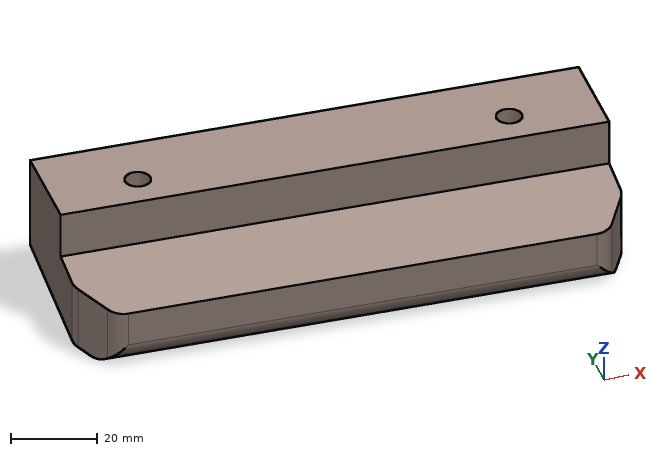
import cadquery as cq
import math

length = 133.0
depth = 46.0
height = 30.3

block_depth = 24.1
step_height = 11.6
slope_angle = math.radians(10)
nose_chamfer = 5.0

cut_angle = math.radians(60)
cut_width = 6.8
cut_depth = cut_width * math.tan(cut_angle)

edge_radius = 5.0

hole_diameter = 6.1
hole_spacing = 90.0
hole_from_back = 15.0

slope = math.tan(slope_angle)
half_turn = (math.pi / 2 + slope_angle) / 2
round_setback = edge_radius * math.tan(half_turn / 2)
chamfer_flat = 2 * nose_chamfer * math.cos(half_turn) - 2 * round_setback

front_face_bottom_z = edge_radius + chamfer_flat * math.cos(half_turn)
underside_front_z = front_face_bottom_z - nose_chamfer - round_setback
underside_back_z = underside_front_z + depth * slope
chamfer_front = (0, underside_front_z + nose_chamfer)
chamfer_back = (
    nose_chamfer * math.cos(slope_angle),
    underside_front_z + nose_chamfer * math.sin(slope_angle),
)

step_y = depth - block_depth
lip_back_z = height - step_height
lip_front_z = lip_back_z - step_y * slope


def make_profile_body():
    """Sweep the side profile along the full length."""
    profile = [
        (depth, underside_back_z),
        (depth, height),
        (step_y, height),
        (step_y, lip_back_z),
        (0, lip_front_z),
        chamfer_front,
        chamfer_back,
    ]
    body = cq.Workplane("YZ").polyline(profile).close().extrude(length / 2, both=True)
    for edge_y, edge_z in (chamfer_front, chamfer_back):
        body = body.edges(cq.NearestToPointSelector((0, edge_y, edge_z))).fillet(edge_radius)
    return body


def make_plan_body():
    """Prism with the plan outline, including the rounded angled corners."""
    half_length = length / 2
    outline = [
        (-half_length, depth),
        (-half_length, cut_depth),
        (-half_length + cut_width, 0),
        (half_length - cut_width, 0),
        (half_length, cut_depth),
        (half_length, depth),
    ]
    prism = cq.Workplane("XY").polyline(outline).close().extrude(height)
    return prism.edges("|Z").edges("not(>Y)").fillet(edge_radius)


def make_holes():
    """Pair of vertical through holes."""
    hole_y = depth - hole_from_back
    centres = [(-hole_spacing / 2, hole_y), (hole_spacing / 2, hole_y)]
    return cq.Workplane("XY").pushPoints(centres).circle(hole_diameter / 2).extrude(height)


result = make_profile_body().intersect(make_plan_body()).cut(make_holes())